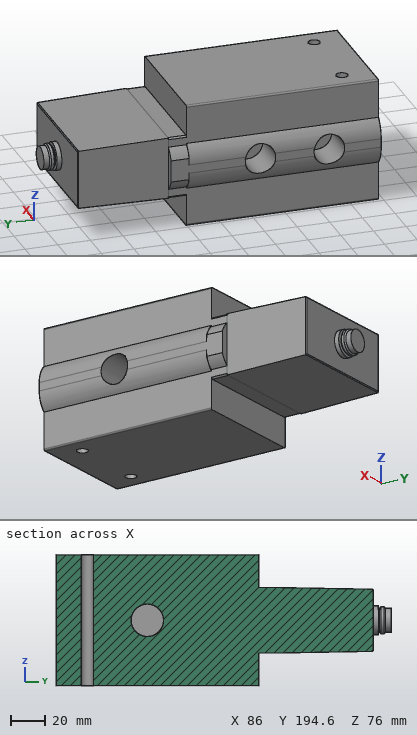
import cadquery as cq
import math

body_end = 117.7
neck_end = 128.8
head_end = 184.0
total_length = 194.6

body_size = 76.0
rail_width = 86.0
rail_radius = 16.0
rail_flat = 5.3
body_edge_radius = 1.0

neck_height = 38.1
neck_rail_radius = 17.3
neck_rail_flat = 13.5
neck_edge_break = 1.0

head_rear_width = 74.5
head_rear_height = 36.2
head_edge_break = 0.5

tip_diameter = 14.0
collar_diameter = 16.0
groove_diameter = 12.0
flange_diameter = 17.0
tip_start = 191.0
collar_rear = 190.3
collar_front = 188.5
groove_rear = 187.8
groove_front = 187.0

port_diameter = 18.7
port_depth = 23.4
port_spacing = 42.2
port_middle = 53.0
mount_diameter = 7.0
mount_spacing = 50.0
mount_y = 18.1


def block(width, height, y_start, y_end):
    """Box centred on X and Z, between two places along Y."""
    length = y_end - y_start
    return cq.Workplane("XY").box(width, length, height).translate((0, y_start + length / 2, 0))


def arc_rail(flat, radius, arc_centre_z, y_start, y_end):
    """Rail across the full width; each side is a flat between two arcs of the given radius.

    The arcs are centred arc_centre_z above and below the middle plane.
    """
    outer_x = rail_width / 2
    root_x = body_size / 2 - neck_edge_break
    flat_z = flat / 2
    start_angle = math.asin((flat_z - arc_centre_z) / radius)
    centre_x = outer_x - radius * math.cos(start_angle)
    end_angle = math.acos((root_x - centre_x) / radius)
    middle_angle = (start_angle + end_angle) / 2

    def arc_point(angle):
        return centre_x + radius * math.cos(angle), arc_centre_z + radius * math.sin(angle)

    middle_x, middle_z = arc_point(middle_angle)
    end_x, end_z = arc_point(end_angle)
    return (
        cq.Workplane("XZ", origin=(0, y_start, 0))
        .moveTo(outer_x, -flat_z)
        .lineTo(outer_x, flat_z)
        .threePointArc((middle_x, middle_z), (end_x, end_z))
        .lineTo(-end_x, end_z)
        .threePointArc((-middle_x, middle_z), (-outer_x, flat_z))
        .lineTo(-outer_x, -flat_z)
        .threePointArc((-middle_x, -middle_z), (-end_x, -end_z))
        .lineTo(end_x, -end_z)
        .threePointArc((middle_x, -middle_z), (outer_x, -flat_z))
        .close()
        .extrude(y_start - y_end)
    )


def make_body():
    core = block(body_size, body_size, 0, body_end).edges("|Y").fillet(body_edge_radius)
    return core.union(arc_rail(rail_flat, rail_radius, rail_flat / 2, 0, body_end))


def make_neck():
    core = block(body_size, neck_height, body_end, neck_end).edges("|Y").chamfer(neck_edge_break)
    return core.union(arc_rail(neck_rail_flat, neck_rail_radius, 0, body_end, neck_end))


def make_head():
    return (
        cq.Workplane("XZ", origin=(0, neck_end, 0))
        .rect(body_size, neck_height)
        .workplane(offset=neck_end - head_end)
        .rect(head_rear_width, head_rear_height)
        .loft(ruled=True)
        .faces(">Y")
        .edges()
        .chamfer(head_edge_break)
    )


def make_connector():
    tip = tip_diameter / 2
    collar = collar_diameter / 2
    groove = groove_diameter / 2
    flange = flange_diameter / 2
    root_y = head_end - head_edge_break
    return (
        cq.Workplane("XY")
        .polyline([
            (0, root_y),
            (flange, root_y),
            (flange, groove_front),
            (groove, groove_front),
            (groove, groove_rear),
            (tip, groove_rear),
            (collar, collar_front),
            (collar, collar_rear),
            (tip, tip_start),
            (tip, total_length),
            (0, total_length),
        ])
        .close()
        .revolve(360, (0, 0, 0), (0, 1, 0))
    )


def side_port(side, y):
    """Blind port cutter entering from the -X (side = -1) or +X (side = 1) rail."""
    return cq.Workplane(
        cq.Plane(origin=(side * rail_width / 2, y, 0), xDir=(0, 1, 0), normal=(-side, 0, 0))
    ).circle(port_diameter / 2).extrude(port_depth)


def mount_hole(x):
    return (
        cq.Workplane("XY", origin=(x, mount_y, -body_size / 2))
        .circle(mount_diameter / 2)
        .extrude(body_size)
    )


result = make_body().union(make_neck()).union(make_head()).union(make_connector())

for side, y in [
    (-1, port_middle - port_spacing / 2),
    (-1, port_middle + port_spacing / 2),
    (1, port_middle),
]:
    result = result.cut(side_port(side, y))

for side in (-1, 1):
    result = result.cut(mount_hole(side * mount_spacing / 2))